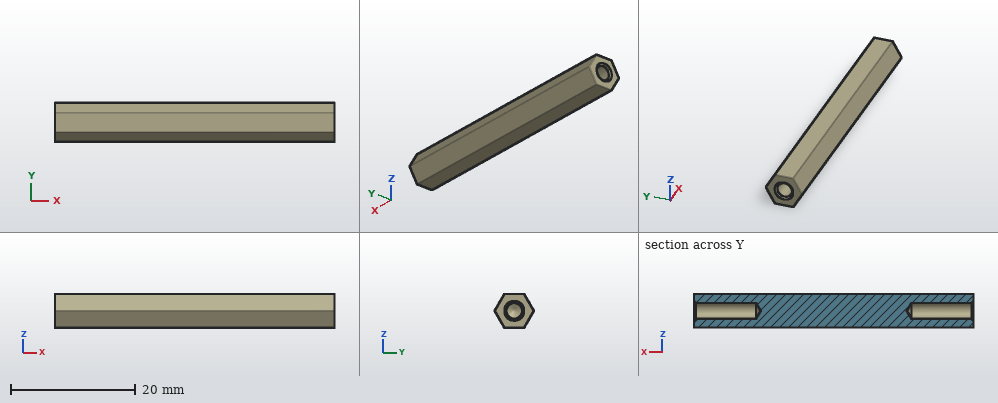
import cadquery as cq
import math

length = 45.0
across_flats = 5.5
across_corners = across_flats / math.cos(math.pi / 6)

hole_diameter = 2.5
hole_depth = 10.0
drill_tip_angle = 118.0
countersink_diameter = 3.2

edge_radius = 0.1


def hex_bar():
    """Hexagonal bar with flats facing +Z and -Z and every edge rounded."""
    return (
        cq.Workplane("YZ")
        .polygon(6, across_corners)
        .extrude(length)
        .translate((-length / 2, 0, 0))
        .edges()
        .fillet(edge_radius)
    )


def end_hole():
    """Countersunk blind hole with a conical bottom, entering at the -X end."""
    hole_radius = hole_diameter / 2
    countersink_radius = countersink_diameter / 2
    countersink_depth = countersink_radius - hole_radius
    tip_depth = hole_radius / math.tan(math.radians(drill_tip_angle / 2))
    return (
        cq.Workplane("XY")
        .moveTo(0, 0)
        .lineTo(0, countersink_radius)
        .lineTo(countersink_depth, hole_radius)
        .lineTo(hole_depth, hole_radius)
        .lineTo(hole_depth + tip_depth, 0)
        .close()
        .revolve(360, (0, 0, 0), (1, 0, 0))
        .translate((-length / 2, 0, 0))
    )


near_hole = end_hole()
far_hole = near_hole.mirror("YZ")
result = hex_bar().cut(near_hole).cut(far_hole)